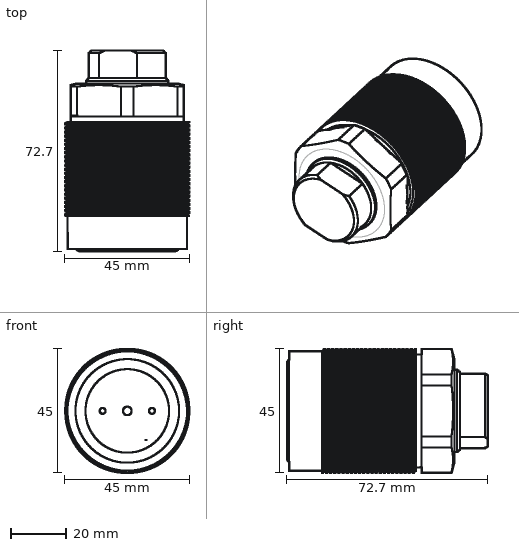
import cadquery as cq
import math


thread_start = 12.0
thread_end = 46.0
hex_front = 48.0
hex_rear = 59.95
shank_front = 62.0
shank_rear = 71.95

sleeve_radius = 21.7
hex_across_flats = 41.05
hex_corner_radius = 22.5
hex_chamfer_angle = 15.0
hex_chamfer_length = 1.1
hex_sides = 6
hex_turn = 180 / hex_sides
clipped_corner_radial = 0.2
clipped_corner_length = 0.45
recess_depth = 2.85
recess_radius = 18.8

crest_radius = 22.5
root_radius = 21.6
crest_width = 0.4
root_gap = 0.18
flank_embed = 0.1
thread_turns = 22.7
thread_lead_in = 0.3
thread_overrun = 2
pitch = (thread_end - thread_start) / thread_turns

hole_depth = 2.9
center_hole_diameter = 3.1
side_hole_diameter = 2.1
side_hole_offset = 8.95

ring_section_radius = 1.8

collar_radius = 14.9
shank_radius = 14.0
collar_cone_length = 1.1
shank_chamfer = 1.0
shank_across_flats = 24.0
shank_flat_tilt = -16.2


def revolve_about_axis(profile_points):
    """Revolve a closed (radius, y) outline a full turn about the Y axis."""
    return cq.Workplane("XY").polyline(profile_points).close().revolve(360, (0, 0), (0, 1))


def axial_cylinder(radius, y_front, y_rear):
    """Cylinder along Y between two stations."""
    return cq.Workplane("XZ", origin=(0, y_front, 0)).circle(radius).extrude(y_front - y_rear)


def make_thread():
    """Right-hand helical ridge on a root cylinder, trimmed square at both ends."""
    path_start = thread_start - thread_lead_in - pitch
    path_length = (math.ceil(thread_turns) + thread_overrun) * pitch
    path = cq.Wire.makeHelix(pitch, path_length, root_radius)
    half_crest = crest_width / 2
    half_root = (pitch - root_gap) / 2
    base_radius = root_radius - flank_embed
    half_base = half_root + flank_embed * (half_root - half_crest) / (crest_radius - root_radius)
    ridge = (
        cq.Workplane("XZ")
        .polyline([
            (base_radius, -half_base),
            (crest_radius, -half_crest),
            (crest_radius, half_crest),
            (base_radius, half_base),
        ])
        .close()
        .sweep(cq.Workplane(obj=path), isFrenet=True)
        .rotate((0, 0, 0), (1, 0, 0), -90)
        .translate((0, path_start, 0))
    )
    trimmed_ridge = ridge.intersect(axial_cylinder(crest_radius + pitch, thread_start, thread_end))
    return axial_cylinder(root_radius, thread_start, thread_end).union(trimmed_ridge)


def make_hex_collar():
    """Hexagon with rounded corners, chamfered behind, one front corner clipped."""
    rear_radius = hex_corner_radius - hex_chamfer_length / math.tan(math.radians(hex_chamfer_angle))
    blank = revolve_about_axis([
        (0, hex_front),
        (hex_corner_radius, hex_front),
        (hex_corner_radius, hex_rear - hex_chamfer_length),
        (rear_radius, hex_rear),
        (0, hex_rear),
    ])
    hexagon = (
        cq.Workplane("XZ", origin=(0, hex_front, 0))
        .polygon(hex_sides, hex_across_flats / math.cos(math.pi / hex_sides))
        .extrude(hex_front - hex_rear)
        .rotate((0, 0, 0), (0, 1, 0), hex_turn)
    )
    clip = (
        cq.Workplane("XY")
        .polyline([
            (-hex_corner_radius, hex_front),
            (-hex_corner_radius, hex_front + clipped_corner_length),
            (clipped_corner_radial - hex_corner_radius, hex_front),
        ])
        .close()
        .revolve(360 / hex_sides, (0, 0), (0, 1))
    )
    return blank.intersect(hexagon).cut(clip)


def make_housing():
    """Sleeve, thread, neck and hexagon, with the front recess and its blind holes."""
    sleeve = axial_cylinder(sleeve_radius, 0, thread_start)
    neck = axial_cylinder(hex_across_flats / 2, thread_end, hex_front)
    body = sleeve.union(make_thread()).union(neck).union(make_hex_collar())
    body = body.cut(axial_cylinder(recess_radius, 0, recess_depth))
    for x, diameter in (
        (-side_hole_offset, side_hole_diameter),
        (0, center_hole_diameter),
        (side_hole_offset, side_hole_diameter),
    ):
        hole = axial_cylinder(diameter / 2, recess_depth, recess_depth + hole_depth)
        body = body.cut(hole.translate((x, 0, 0)))
    return body


def make_seal_ring():
    """Round-section ring lying in the recess against its floor and wall."""
    center_radius = recess_radius - ring_section_radius
    center_y = recess_depth - ring_section_radius
    return (
        cq.Workplane("XY")
        .center(center_radius, center_y)
        .circle(ring_section_radius)
        .revolve(360, (-center_radius, 0), (-center_radius, 1))
    )


def make_plug():
    """Round shank with two tilted wrench flats, on a coned collar."""
    collar = revolve_about_axis([
        (0, hex_rear),
        (collar_radius, hex_rear),
        (collar_radius, shank_front - collar_cone_length),
        (shank_radius, shank_front),
        (0, shank_front),
    ])
    shank = axial_cylinder(shank_radius, shank_front, shank_rear).faces(">Y").chamfer(shank_chamfer)
    flats = (
        cq.Workplane("XY")
        .box(2 * shank_radius, 2 * shank_rear, shank_across_flats)
        .rotate((0, 0, 0), (0, 1, 0), shank_flat_tilt)
    )
    return collar.union(shank.intersect(flats))


housing = make_housing()
seal_ring = make_seal_ring()
plug = make_plug()

result = cq.Compound.makeCompound([housing.val(), seal_ring.val(), plug.val()])